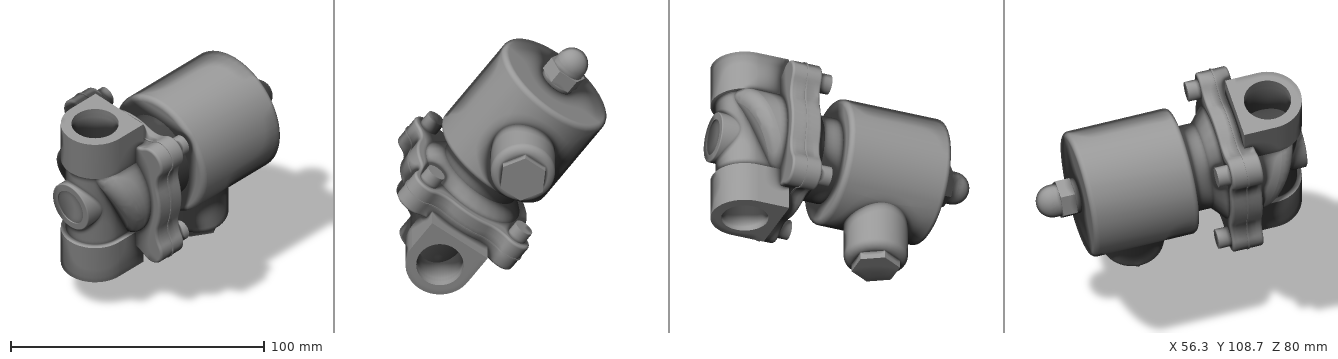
import cadquery as cq
import math


LOBE_OFFSET = 21.4
LOBE_RADIUS = 6.46
BULGE_RADIUS = 26.8
VALLEY_RADIUS = 11.2
FLANGE_THICKNESS = 6.0
FLANGE_FILLET = 1.0

GASKET_THICKNESS = 0.7
GASKET_OVERHANG = 0.3

PORT_RADIUS = 13.6
PORT_AXIS_Y = -15.7
PORT_BACK_Y = -2.3
PORT_INNER_Z = 17.4
PORT_OUTER_Z = 34.5
BORE_RADIUS = 9.3
BORE_FLOOR_RADIUS = 17.4
TUBE_RADIUS = 11.6
BOWL_RADIUS = 22.0
BOWL_FILLET = 5.0
BOWL_TILT = 25.2
BOWL_FACE_Y = -17.0
BOSS_RADIUS = 10.1
BOSS_EDGE_FILLET = 0.4
RECESS_RADIUS = 7.2
RECESS_DEPTH = 0.5
ROOT_FILLET = 0.4
TOLERANCE = 0.1

NECK_RADIUS = 17.3
CONE_BASE_RADIUS = 22.8
CONE_HEIGHT = 5.1
SCREW_HEAD_RADIUS = 3.96

COIL_RADIUS = 25.4
COIL_LENGTH = 43.2
COIL_FILLET = 2.1
COIL_GAP = 7.8
OUTLET_RADIUS = 12.7
OUTLET_REACH = 42.4
OUTLET_FILLET = 3.3
OUTLET_TO_COIL_END = 22.5

GLAND_ACROSS_CORNERS = 19.3
GLAND_HEIGHT = 3.1
WASHER_RADIUS = 7.1
WASHER_THICKNESS = 2.1
WASHER_FILLET = 0.5
NUT_ACROSS_CORNERS = 16.3
NUT_HEIGHT = 5.9
DOME_RADIUS = 6.5
DOME_SHANK = 2.4

joint_top = GASKET_THICKNESS / 2
cone_base = joint_top + FLANGE_THICKNESS
cone_top = cone_base + CONE_HEIGHT
coil_start = cone_top + COIL_GAP
coil_end = coil_start + COIL_LENGTH
washer_top = coil_end + WASHER_THICKNESS
front_face = PORT_AXIS_Y - PORT_RADIUS
outlet_axis_y = coil_end - OUTLET_TO_COIL_END


def plane_at(y):
    """XZ plane at a height on the Y axis, with its normal along +Y."""
    return cq.Workplane(cq.Plane(origin=(0, y, 0), xDir=(1, 0, 0), normal=(0, 1, 0)))


def disc(radius, y_start, y_end):
    """Round bar on the Y axis."""
    return plane_at(y_start).circle(radius).extrude(y_end - y_start)


def on_circle(center, radius, angle):
    return (center[0] + radius * math.cos(angle), center[1] + radius * math.sin(angle))


def turned(point, quarter):
    """The point turned by a number of quarter turns about the origin."""
    angle = quarter * math.pi / 2
    x, z = point
    return (
        x * math.cos(angle) - z * math.sin(angle),
        x * math.sin(angle) + z * math.cos(angle),
    )


def flange_plate(y_start, y_end, overhang=0.0):
    """Plate with four lobes and a bulge on each side, joined by tangent arcs."""
    lobe = LOBE_RADIUS + overhang
    bulge = BULGE_RADIUS + overhang
    valley = VALLEY_RADIUS - overhang

    lobe_distance = LOBE_OFFSET * math.sqrt(2)
    valley_distance = bulge + valley
    cosine = (lobe_distance**2 + valley_distance**2 - (lobe + valley) ** 2) / (
        2 * lobe_distance * valley_distance
    )
    valley_angle = math.pi / 4 - math.acos(cosine)
    valley_center = on_circle((0, 0), valley_distance, valley_angle)
    lobe_center = (LOBE_OFFSET, LOBE_OFFSET)
    to_lobe = math.atan2(LOBE_OFFSET - valley_center[1], LOBE_OFFSET - valley_center[0])
    to_bulge = valley_angle + math.pi

    bulge_end = on_circle((0, 0), bulge, valley_angle)
    valley_middle = on_circle(valley_center, valley, (to_lobe + to_bulge) / 2)
    valley_end = on_circle(valley_center, valley, to_lobe)
    lobe_tip = on_circle(lobe_center, lobe, math.pi / 4)

    def mirrored(point):
        return (point[1], point[0])

    quarter_arcs = [
        ((bulge, 0), bulge_end),
        (valley_middle, valley_end),
        (lobe_tip, mirrored(valley_end)),
        (mirrored(valley_middle), mirrored(bulge_end)),
    ]
    outline = plane_at(y_start).moveTo(bulge_end[0], -bulge_end[1])
    for quarter in range(4):
        for through, end in quarter_arcs:
            outline = outline.threePointArc(turned(through, quarter), turned(end, quarter))
    return outline.close().extrude(y_end - y_start)


def u_block(radius, z_start, z_end):
    """Block along Z with a flat back and a round front."""
    return (
        cq.Workplane("XY", origin=(0, 0, z_start))
        .moveTo(-radius, PORT_BACK_Y)
        .lineTo(-radius, PORT_AXIS_Y)
        .threePointArc((0, PORT_AXIS_Y - radius), (radius, PORT_AXIS_Y))
        .lineTo(radius, PORT_BACK_Y)
        .close()
        .extrude(z_end - z_start)
    )


def make_bowl():
    """Round bowl closed by a sloping face with a rounded edge."""
    slope = math.radians(BOWL_TILT)
    face = cq.Plane(
        origin=(0, BOWL_FACE_Y, 0),
        xDir=(1, 0, 0),
        normal=(0, -math.cos(slope), -math.sin(slope)),
    )
    beyond_face = cq.Workplane(face).rect(4 * BOWL_RADIUS, 4 * BOWL_RADIUS).extrude(2 * BOWL_RADIUS)
    bowl = disc(BOWL_RADIUS, front_face, -joint_top)
    bowl = bowl.rotate((0, 0, 0), (0, 1, 0), 90)
    bowl = bowl.cut(beyond_face)
    return bowl.faces("<Y").edges().fillet(BOWL_FILLET)


def make_bore(side):
    """Port bore from the port's end face to a rounded floor; side is +1 or -1 along Z."""
    bore = (
        cq.Workplane("XY")
        .center(0, PORT_AXIS_Y)
        .circle(BORE_RADIUS)
        .extrude(side * PORT_OUTER_Z)
    )
    return bore.cut(disc(BORE_FLOOR_RADIUS, 2 * front_face, 0))


def make_pipe():
    """Two port blocks and the slimmer tube between them, with filleted inside corners."""
    pipe = u_block(TUBE_RADIUS, -PORT_OUTER_Z, PORT_OUTER_Z)
    for side in (1, -1):
        pipe = pipe.union(u_block(PORT_RADIUS, side * PORT_INNER_Z, side * PORT_OUTER_Z))
    around_tube = cq.selectors.BoxSelector(
        (-TUBE_RADIUS - TOLERANCE, front_face, -PORT_INNER_Z - TOLERANCE),
        (TUBE_RADIUS + TOLERANCE, PORT_BACK_Y + TOLERANCE, PORT_INNER_Z + TOLERANCE),
        boundingbox=True,
    )
    return pipe.edges(around_tube).edges("#Z").fillet(ROOT_FILLET)


def add_boss(pipe):
    """Front boss with a filleted root, a rounded rim and a shallow recess."""
    boss_end = front_face + TOLERANCE
    boss_zone = cq.selectors.BoxSelector(
        (-BOSS_RADIUS - TOLERANCE, boss_end, -BOSS_RADIUS - TOLERANCE),
        (BOSS_RADIUS + TOLERANCE, PORT_AXIS_Y, BOSS_RADIUS + TOLERANCE),
        boundingbox=True,
    )
    boss = disc(BOSS_RADIUS, front_face, PORT_AXIS_Y).faces("<Y").edges().fillet(BOSS_EDGE_FILLET)
    recess = disc(RECESS_RADIUS, front_face, front_face + RECESS_DEPTH)
    joined = pipe.union(disc(BOSS_RADIUS, front_face, PORT_AXIS_Y))
    joined = joined.edges(boss_zone).edges("not |Y").fillet(ROOT_FILLET)
    rim = disc(BOSS_RADIUS, front_face, front_face + BOSS_EDGE_FILLET).cut(boss)
    return joined.cut(rim).cut(recess)


def make_valve_body():
    flange = flange_plate(-joint_top - FLANGE_THICKNESS, -joint_top).faces("<Y").edges().fillet(FLANGE_FILLET)
    body = add_boss(make_pipe()).union(make_bowl()).union(flange)
    for side in (1, -1):
        body = body.cut(make_bore(side))
    return body


def make_bonnet():
    flange = flange_plate(joint_top, cone_base).faces(">Y").edges().fillet(FLANGE_FILLET)
    cone = cq.Workplane(
        cq.Solid.makeCone(
            CONE_BASE_RADIUS,
            NECK_RADIUS,
            CONE_HEIGHT,
            pnt=cq.Vector(0, cone_base, 0),
            dir=cq.Vector(0, 1, 0),
        )
    )
    neck = disc(NECK_RADIUS, cone_top, coil_start)
    screw_heads = (
        plane_at(cone_base)
        .rect(2 * LOBE_OFFSET, 2 * LOBE_OFFSET, forConstruction=True)
        .vertices()
        .circle(SCREW_HEAD_RADIUS)
        .extrude(CONE_HEIGHT)
    )
    return flange.union(cone).union(neck).union(screw_heads)


def make_coil():
    drum = disc(COIL_RADIUS, coil_start, coil_end).faces("|Y").edges().fillet(COIL_FILLET)
    outlet = (
        cq.Workplane("XY")
        .center(0, outlet_axis_y)
        .circle(OUTLET_RADIUS)
        .extrude(-OUTLET_REACH)
        .faces("<Z")
        .edges()
        .fillet(OUTLET_FILLET)
    )
    return drum.union(outlet)


def make_cable_gland():
    return (
        cq.Workplane("XY", origin=(0, outlet_axis_y, -OUTLET_REACH))
        .polygon(6, GLAND_ACROSS_CORNERS)
        .extrude(-GLAND_HEIGHT)
    )


def make_washer():
    return disc(WASHER_RADIUS, coil_end, washer_top).faces("|Y").edges().fillet(WASHER_FILLET)


def make_cap_nut():
    hexagon = plane_at(washer_top).polygon(6, NUT_ACROSS_CORNERS).extrude(NUT_HEIGHT)
    nut_top = washer_top + NUT_HEIGHT
    shank = disc(DOME_RADIUS, nut_top, nut_top + DOME_SHANK)
    dome = cq.Workplane("XY").sphere(DOME_RADIUS).translate((0, nut_top + DOME_SHANK, 0))
    return hexagon.union(shank).union(dome)


valve_body = make_valve_body()
gasket = flange_plate(-joint_top, joint_top, GASKET_OVERHANG)
bonnet = make_bonnet()
coil = make_coil()
cable_gland = make_cable_gland()
washer = make_washer()
cap_nut = make_cap_nut()

result = cq.Compound.makeCompound(
    [
        valve_body.val(),
        gasket.val(),
        bonnet.val(),
        coil.val(),
        cable_gland.val(),
        washer.val(),
        cap_nut.val(),
    ]
)